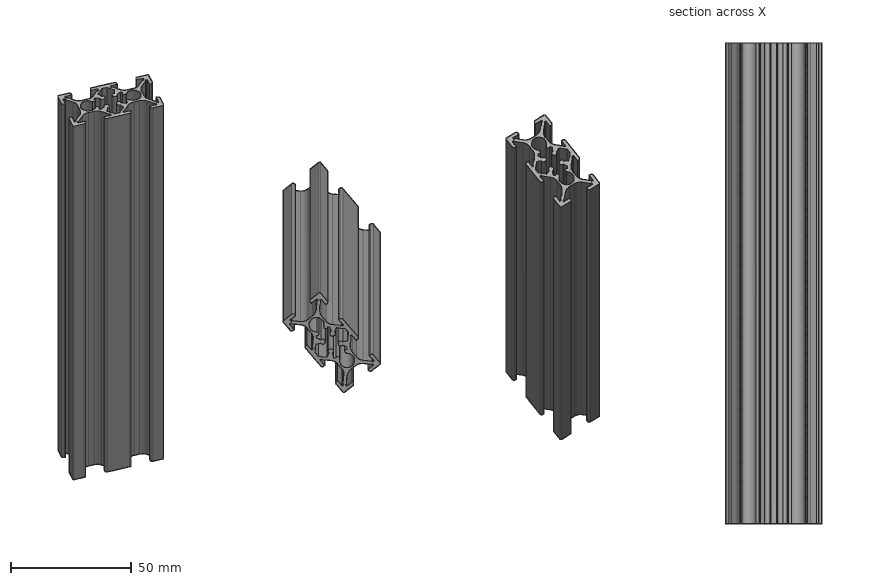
import cadquery as cq

length = 200.0
cell = 20.0
half_cell = cell / 2

mouth_half = 4.2
mouth_fillet = 0.9
corner_fillet = 0.5
lip = 1.5
floor_depth = 6.0
floor_half = 3.0
floor_fillet = 4.2
groove_half = 7.2
groove_depth = 2.2

bore_radius = 3.1
web = 1.8
channel_half = 1.5
lug_radius = 0.8
lug_x = 2.5
lug_y = 6.8
knob_radius = 1.1
knob_offset = 2.7
stem_tip_width = 1.0
stem_root_width = 3.2
cavity_wall = 1.9

diamond_half = half_cell - floor_depth + (half_cell - floor_half) - web


def prism(sketch):
    """Extrude a closed XY profile over the full length."""
    return sketch.extrude(length)


def slot():
    """T-slot cutter for an outer face on the +X side of a cell at the origin."""
    face = half_cell
    inner_lip = face - lip
    slot_floor = face - floor_depth
    groove_start = face - groove_depth
    slope_end_half = floor_half + groove_start - slot_floor
    upper = [
        (slot_floor, floor_half),
        (groove_start, slope_end_half),
        (groove_start, groove_half),
        (inner_lip, groove_half),
    ]
    lower = [(x, -y) for x, y in reversed(upper)]
    undercut = prism(cq.Workplane("XY").polyline(upper + lower).close())
    undercut = undercut.edges("|Z and <X").fillet(floor_fillet)
    flare_half = mouth_half + mouth_fillet
    flare_start = face - mouth_fillet
    mouth = prism(
        cq.Workplane("XY")
        .moveTo(inner_lip, -mouth_half)
        .lineTo(flare_start, -mouth_half)
        .radiusArc((face, -flare_half), mouth_fillet)
        .lineTo(face, flare_half)
        .radiusArc((flare_start, mouth_half), mouth_fillet)
        .lineTo(inner_lip, mouth_half)
        .close()
    )
    return undercut.union(mouth)


def cavity():
    """Diamond cavity, flattened where it meets the two side walls."""
    diamond = prism(cq.Workplane("XY").polyline([
        (diamond_half, 0),
        (0, diamond_half),
        (-diamond_half, 0),
        (0, -diamond_half),
    ]).close())
    between_walls = prism(cq.Workplane("XY").rect(cell - 2 * cavity_wall, 2 * diamond_half))
    return diamond.intersect(between_walls)


def lugs_and_knobs():
    """Lugs and stemmed knobs of the +X +Y quadrant of the cavity."""
    knob_radial = 2**0.5 * knob_offset
    web_radial = (diamond_half + web / 2) / 2**0.5
    lug = prism(cq.Workplane("XY").center(lug_x, lug_y).circle(lug_radius))
    knob = prism(cq.Workplane("XY").center(knob_offset, knob_offset).circle(knob_radius))
    stem = prism(cq.Workplane("XY").polyline([
        (knob_radial, -stem_tip_width / 2),
        (web_radial, -stem_root_width / 2),
        (web_radial, stem_root_width / 2),
        (knob_radial, stem_tip_width / 2),
    ]).close()).rotate((0, 0, 0), (0, 0, 1), 45)
    return lug.union(knob).union(stem)


body = prism(cq.Workplane("XY").rect(cell, 2 * cell)).edges("|Z").fillet(corner_fillet)
body = body.cut(cavity())

right_side = lugs_and_knobs().union(lugs_and_knobs().mirror("XZ"))
body = body.union(right_side).union(right_side.mirror("YZ"))

body = body.cut(prism(cq.Workplane("XY").rect(2 * channel_half, cell)))
bore_centers = [(0, half_cell), (0, -half_cell)]
body = body.cut(prism(cq.Workplane("XY").pushPoints(bore_centers).circle(bore_radius)))

for cell_y, angles in ((half_cell, (0, 90, 180)), (-half_cell, (0, 180, 270))):
    for angle in angles:
        cutter = slot().rotate((0, 0, 0), (0, 0, 1), angle)
        body = body.cut(cutter.translate((0, cell_y, 0)))

result = body